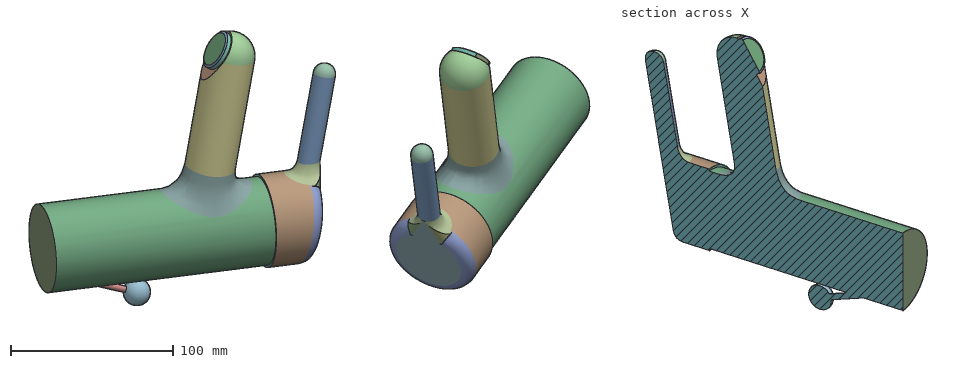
import cadquery as cq
import math

body_radius = 27.65
body_length = 142.3

cap_radius = 29.1
cap_edge_radius = 7.0

handle_tilt = math.radians(10.2)
handle_radius = 7.0
handle_tip_y = 182.71
handle_tip_z = 92.95
handle_inset = 0.1
handle_base_y = handle_tip_y - handle_tip_z * math.tan(handle_tilt)

handle_flare_top_z = 37.6
handle_flare_y = 171.0
handle_flare_half_width = 14.4
handle_flare_half_length = 14.7
envelope_clearance = 0.15
envelope_top_corner_radius = 7.0
envelope_bottom_z = 20.0
envelope_bottom_half_width = 18.0
envelope_bottom_corner_radius = 8.0

spout_tilt = math.radians(10.0)
spout_radius = 15.7
spout_base_y = 101.42
spout_dome_z = 112.9
spout_face_tilt = math.radians(33.0)
spout_face_y = 112.4
spout_face_z = 114.3

spout_flare_top_z = 42.1
spout_flare_y = 106.3
spout_flare_half_width = 23.1
spout_flare_half_length = 30.5

flare_sink = 0.04
flare_core_depth = 8.0
flare_core_scale = 0.8
flare_ring_count = 7
flare_ring_points = 24

aerator_radius = 12.45
aerator_depth = 5.4
aerator_chamfer_width = 1.5
aerator_chamfer_depth = 0.6
aerator_y = 111.6
aerator_z = 119.0
aerator_flat_angle = 150.0
aerator_flat_half_angle = 28.0
aerator_flat_distance = aerator_radius * math.cos(math.radians(aerator_flat_half_angle))

ball_radius = 8.5
ball_y = 61.1
ball_z = -37.1
rod_radius = 2.1
rod_rise = math.radians(20.0)
rod_length = 45.0

y_axis = cq.Vector(0, 1, 0)


def tilted_up(tilt):
    """Direction that leans from +Z towards +Y."""
    return cq.Vector(0, math.sin(tilt), math.cos(tilt))


def cross_plane(y, z, normal):
    """Plane through a point of the symmetry plane, with its local x along X."""
    return cq.Plane((0, y, z), xDir=(1, 0, 0), normal=normal)


def cylinder(radius, start, direction, length):
    return cq.Workplane(cq.Solid.makeCylinder(radius, length, start, direction))


def sphere(radius, center):
    return cq.Workplane("XY").sphere(radius).translate(center)


def half_space(plane, size):
    """Block that stands on a plane, on the side its normal points to."""
    return cq.Workplane(plane).rect(size, size).extrude(size)


def round_ended_stem(radius, base_y, tilt, tip_z):
    """Round stick that rises from z = 0 at base_y and ends in a half ball centred at tip_z."""
    base = cq.Vector(0, base_y, 0)
    direction = tilted_up(tilt)
    length = tip_z / direction.z
    return cylinder(radius, base, direction, length).union(sphere(radius, base + direction * length))


def closed_spline(points):
    return cq.Wire.assembleEdges([cq.Edge.makeSpline(points, periodic=True)])


def make_flare(stem_radius, stem_y, tilt, square_top, top_z, base_radius, foot_y, half_width, half_length):
    """Blend that runs from a tilted stem down to an oval foot on a cylinder along Y.

    stem_y is where the stem axis crosses z = 0; a square top lies across the stem, otherwise it is level.
    """
    inner_stem = stem_radius - flare_sink
    inner_base = base_radius - flare_sink
    core_z = math.sqrt(inner_base**2 - half_width**2) - flare_core_depth
    curves = []
    core_points = []
    for i in range(flare_ring_points):
        angle = 2 * math.pi * i / flare_ring_points
        side = math.sin(angle)
        along = math.cos(angle)
        foot_x = half_width * side
        foot_z = math.sqrt(inner_base**2 - foot_x**2)
        foot = cq.Vector(foot_x, foot_y + half_length * along, foot_z)

        stem_x = inner_stem * side
        line_y = stem_y + inner_stem * along / math.cos(tilt)
        start_z = top_z
        if square_top:
            start_z -= inner_stem * along * math.sin(tilt)
        start = cq.Vector(stem_x, line_y + start_z * math.tan(tilt), start_z)

        corner_z = foot_z + (foot_x - stem_x) * foot_x / foot_z
        corner = cq.Vector(stem_x, line_y + corner_z * math.tan(tilt), corner_z)
        curves.append((start, corner, foot))

        core_y = foot_y + half_length * along * flare_core_scale
        core_points.append(cq.Vector(foot_x * flare_core_scale, core_y, core_z))

    rings = []
    for i in range(flare_ring_count):
        t = i / (flare_ring_count - 1)
        rings.append(
            closed_spline([s * (1 - t) ** 2 + c * (2 * t * (1 - t)) + f * t**2 for s, c, f in curves])
        )
    core_ring = closed_spline(core_points)

    shapes = cq.occ_impl.shapes
    skin = shapes.loft(rings)
    skirt = shapes.loft([rings[-1], core_ring], ruled=True)
    ends = [cq.Face.makeFromWires(rings[0]), cq.Face.makeFromWires(core_ring)]
    return cq.Workplane(shapes.solid(skin.Faces() + skirt.Faces() + ends, tol=1e-3))


def make_body():
    return cylinder(body_radius, cq.Vector(), y_axis, body_length)


def make_cap():
    back_y = handle_base_y + (handle_radius + handle_inset) / math.cos(handle_tilt)
    back_normal = cq.Vector(0, math.cos(handle_tilt), -math.sin(handle_tilt))
    behind = half_space(cross_plane(back_y, 0, back_normal), 6 * cap_radius)
    blank = cylinder(cap_radius, cq.Vector(0, body_length, 0), y_axis, 2 * cap_radius)
    return blank.cut(behind).faces(">Y").edges().fillet(cap_edge_radius)


def make_handle_envelope():
    """Block with rounded rear corners on the back plane of the cap, widening from the handle downwards."""
    length = 4 * cap_radius
    center = handle_radius + handle_inset - length / 2
    normal = tilted_up(handle_tilt)
    top_y = handle_base_y + handle_flare_top_z * math.tan(handle_tilt)
    drop = (handle_flare_top_z - envelope_bottom_z) / normal.z
    top_width = 2 * (handle_radius + envelope_clearance)
    bottom_width = 2 * envelope_bottom_half_width
    top = cq.Sketch().rect(top_width, length).vertices().fillet(envelope_top_corner_radius)
    bottom = cq.Sketch().rect(bottom_width, length).vertices().fillet(envelope_bottom_corner_radius)
    return (
        cq.Workplane(cross_plane(top_y, handle_flare_top_z, normal))
        .placeSketch(
            top.moved(cq.Location((0, center, 0))),
            bottom.moved(cq.Location((0, center, -drop))),
        )
        .loft()
    )


def make_handle():
    stem = round_ended_stem(handle_radius, handle_base_y, handle_tilt, handle_tip_z)
    flare = make_flare(
        stem_radius=handle_radius,
        stem_y=handle_base_y,
        tilt=handle_tilt,
        square_top=False,
        top_z=handle_flare_top_z,
        base_radius=cap_radius,
        foot_y=handle_flare_y,
        half_width=handle_flare_half_width,
        half_length=handle_flare_half_length,
    )
    return stem.union(flare.intersect(make_handle_envelope()))


def make_aerator(face_normal):
    outer_plane = cross_plane(aerator_y, aerator_z, face_normal)
    disc = cq.Workplane(outer_plane).circle(aerator_radius).extrude(-aerator_depth)
    outer_face = cq.DirectionMinMaxSelector(face_normal, True)
    disc = disc.faces(outer_face).chamfer(aerator_chamfer_depth, aerator_chamfer_width)
    flat_cutter = (
        cq.Workplane(outer_plane)
        .transformed(rotate=(0, 0, aerator_flat_angle))
        .center(aerator_flat_distance + aerator_radius, 0)
        .rect(2 * aerator_radius, 2 * aerator_radius)
        .extrude(-aerator_depth)
    )
    return disc.cut(flat_cutter)


def make_spout():
    stem = round_ended_stem(spout_radius, spout_base_y, spout_tilt, spout_dome_z)
    face_normal = cq.Vector(0, -math.cos(spout_face_tilt), math.sin(spout_face_tilt))
    face_plane = cross_plane(spout_face_y, spout_face_z, face_normal)
    stem = stem.cut(half_space(face_plane, 4 * spout_radius))
    flare = make_flare(
        stem_radius=spout_radius,
        stem_y=spout_base_y,
        tilt=spout_tilt,
        square_top=True,
        top_z=spout_flare_top_z,
        base_radius=body_radius,
        foot_y=spout_flare_y,
        half_width=spout_flare_half_width,
        half_length=spout_flare_half_length,
    )
    return stem.union(make_aerator(face_normal)).union(flare)


def make_drain_control():
    center = cq.Vector(0, ball_y, ball_z)
    direction = cq.Vector(0, -math.cos(rod_rise), math.sin(rod_rise))
    return sphere(ball_radius, center).union(cylinder(rod_radius, center, direction, rod_length))


result = (
    make_body()
    .union(make_cap())
    .union(make_handle())
    .union(make_spout())
    .union(make_drain_control())
)